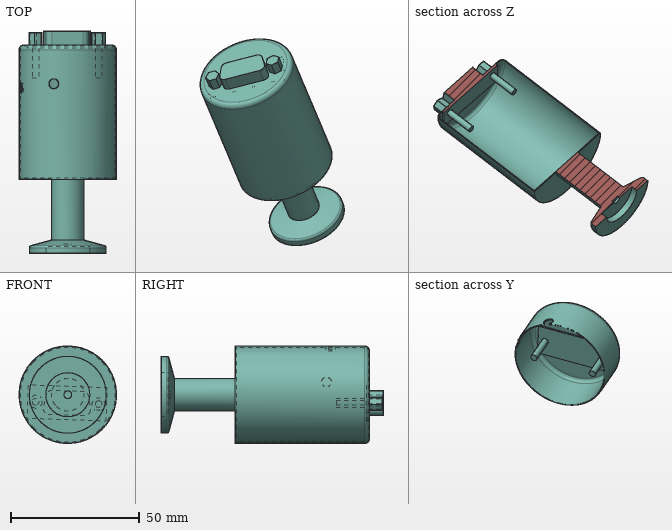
import cadquery as cq
import math

TOTAL_LENGTH = 86.8
BODY_START = 28.9
BODY_END = 81.4

BODY_DIAMETER = 38.1
BODY_EDGE_RADIUS = 2.0
BODY_WALL = 0.5

TUBE_DIAMETER = 12.8
FLANGE_DIAMETER = 30.0
FLANGE_HEIGHT = 5.2
FLANGE_CONE_ANGLE = 15.0
FLANGE_EDGE_RADIUS = 0.95
RIM_EDGE_MARGIN = 0.1
RECESS_DIAMETER = 17.2
RECESS_DEPTH = 2.6
INLET_DIAMETER = 3.0
INLET_DEPTH = 1.0

RADIAL_HOLE_DIAMETER = 3.9
RADIAL_HOLES = [(66.2, 107.0), (64.6, 164.6)]

CONNECTOR_X = -0.3
CONNECTOR_Z = -3.2
CONNECTOR_TILT = -2.0
SHELL_HEIGHT = 9.4
SHELL_MEAN_WIDTH = 17.6
SHELL_SIDE_ANGLE = 10.0
SHELL_CORNER_RADIUS = 2.25
PLATE_WIDTH = 30.8
PLATE_HEIGHT = 13.0
PLATE_THICKNESS = 0.7
JACK_SPACING = 24.65
JACK_ACROSS_FLATS = 4.8
JACK_LENGTH = 4.8
LEFT_JACK_TURN = -21.9
RIGHT_JACK_TURN = -4.0
STEM_DIAMETER = 2.6
STEM_LENGTH = 11.7

CAVITY_END = BODY_END - BODY_WALL


def plane_at(y, x=0.0):
    """Sketch plane facing +Y, with local x along -X and local y along +Z."""
    return cq.Plane(origin=(x, y, 0), xDir=(-1, 0, 0), normal=(0, 1, 0))


def cylinder(start, end, diameter):
    return cq.Workplane(plane_at(start)).circle(diameter / 2).extrude(end - start)


def rounded_cylinder(start, end, diameter, edge_radius):
    """Cylinder along Y whose +Y end edge is rounded."""
    return cylinder(start, end, diameter).faces(">Y").edges().fillet(edge_radius)


def make_body():
    """Thin-walled canister, closed at both ends, with an even wall."""
    outside = rounded_cylinder(BODY_START, BODY_END, BODY_DIAMETER, BODY_EDGE_RADIUS)
    cavity = rounded_cylinder(
        BODY_START + BODY_WALL,
        CAVITY_END,
        BODY_DIAMETER - 2 * BODY_WALL,
        BODY_EDGE_RADIUS - BODY_WALL,
    )
    return outside.cut(cavity)


def make_flange():
    """Clamp flange: a disc whose back slopes up to the tube as a cone."""
    outer = FLANGE_DIAMETER / 2
    inner = TUBE_DIAMETER / 2
    rim_height = FLANGE_HEIGHT - (outer - inner) * math.tan(math.radians(FLANGE_CONE_ANGLE))
    profile = (
        cq.Workplane("XY")
        .moveTo(0, 0)
        .lineTo(outer, 0)
        .lineTo(outer, rim_height)
        .lineTo(inner, FLANGE_HEIGHT)
        .lineTo(0, FLANGE_HEIGHT)
        .close()
    )
    flange = profile.revolve(360, (0, 0, 0), (0, 1, 0))
    rim_edge = cq.selectors.BoxSelector(
        (-2 * outer, rim_height - RIM_EDGE_MARGIN, -2 * outer),
        (2 * outer, rim_height + RIM_EDGE_MARGIN, 2 * outer),
        boundingbox=True,
    )
    return flange.edges(rim_edge).fillet(FLANGE_EDGE_RADIUS)


def make_radial_hole(station, angle):
    """Cutter for one hole through the body wall, pointing straight out from the axis."""
    direction = cq.Vector(math.cos(math.radians(angle)), 0, math.sin(math.radians(angle)))
    inner_end = direction * (BODY_DIAMETER / 2 - 2 * BODY_WALL) + cq.Vector(0, station, 0)
    cutter = cq.Solid.makeCylinder(RADIAL_HOLE_DIAMETER / 2, 3 * BODY_WALL, inner_end, direction)
    return cq.Workplane(cutter)


def make_shell():
    """D-shaped connector block, wider towards -Z, centred on the connector axis."""
    half_height = SHELL_HEIGHT / 2
    side_offset = half_height * math.tan(math.radians(SHELL_SIDE_ANGLE))
    half_top = SHELL_MEAN_WIDTH / 2 - side_offset
    half_bottom = SHELL_MEAN_WIDTH / 2 + side_offset
    outline = [
        (-half_bottom, -half_height),
        (half_bottom, -half_height),
        (half_top, half_height),
        (-half_top, half_height),
    ]
    block = cq.Workplane(plane_at(BODY_END)).polyline(outline).close().extrude(TOTAL_LENGTH - BODY_END)
    return block.edges("|Y").fillet(SHELL_CORNER_RADIUS)


def make_plate():
    """Mounting plate lying against the inner face of the body's end wall."""
    plate = cq.Workplane(plane_at(CAVITY_END - PLATE_THICKNESS))
    return plate.rect(PLATE_WIDTH, PLATE_HEIGHT).extrude(PLATE_THICKNESS)


def make_jack(x, turn):
    """Hexagonal jack screw, turned about its own axis from +X towards +Z, with a stem inside the body."""
    across_corners = JACK_ACROSS_FLATS / math.cos(math.radians(30))
    head_plane = plane_at(BODY_END, x).rotated((0, 0, -turn))
    head = cq.Workplane(head_plane).polygon(6, across_corners).extrude(JACK_LENGTH)
    stem_end = CAVITY_END - PLATE_THICKNESS - STEM_LENGTH
    stem = cylinder(stem_end, BODY_END, STEM_DIAMETER).translate((x, 0, 0))
    return head.union(stem)


def make_connector():
    """Connector, plate and jack screws, tilted together and set off the body axis."""
    half_spacing = JACK_SPACING / 2
    parts = [
        make_shell(),
        make_plate(),
        make_jack(-half_spacing, LEFT_JACK_TURN - CONNECTOR_TILT),
        make_jack(half_spacing, RIGHT_JACK_TURN - CONNECTOR_TILT),
    ]
    offset = (CONNECTOR_X, 0, CONNECTOR_Z)
    return [part.rotate((0, 0, 0), (0, 1, 0), -CONNECTOR_TILT).translate(offset) for part in parts]


result = make_body().union(cylinder(0, BODY_START, TUBE_DIAMETER)).union(make_flange())
for part in make_connector():
    result = result.union(part)
result = result.cut(cylinder(0, RECESS_DEPTH, RECESS_DIAMETER))
result = result.cut(cylinder(0, RECESS_DEPTH + INLET_DEPTH, INLET_DIAMETER))
for hole_station, hole_angle in RADIAL_HOLES:
    result = result.cut(make_radial_hole(hole_station, hole_angle))